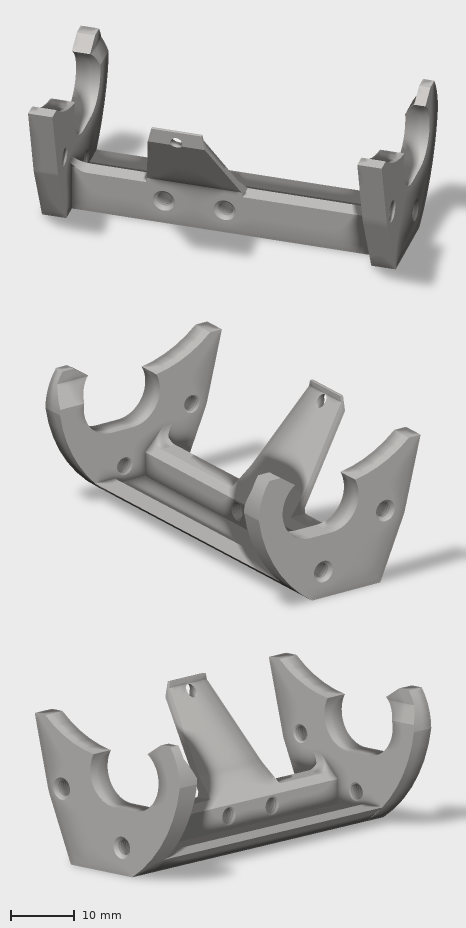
import cadquery as cq
import math

length = 58.0
plate_thickness = 4.0
plate_height = 23.25
left_inner_x = plate_thickness
right_inner_x = length - plate_thickness

base_front = (7.8, 0.0)
base_back = (20.95, 0.0)
front_tip_width = 2.25
throat_front = (12.7, 18.55)
front_curve_middle = (6.7, 20.35)
hook_tip = (24.0, 20.25)
hook_top_front = (27.0, 22.2)
hook_top_back = (29.2, 22.2)
plate_back = 31.2
upper_back_middle = (30.7, 19.2)
lower_back_middle = (27.9, 7.1)
left_knee = (3.15, 10.75)
left_knee_radius = 3.5
right_knee = (2.95, 11.2)
right_knee_radius = 9.85

slot_radius = 5.3
slot_front_y = 17.2
slot_back_y = 21.35
slot_z = 15.95

left_relief_depth = 1.0
left_relief_start_z = 17.1
left_relief_end_z = 20.0
right_relief_depth = 2.15
right_relief_start_z = 16.9
right_relief_end_z = 20.3

rail_front_y = 10.8
rail_back_y = 14.8
rail_top_z = 7.0
rail_bevel_start_z = 5.85
rail_fillet = 2.45
groove_floor_z = 1.85
groove_back_y = 20.65
ledge_back_y = 24.5
ledge_z = 2.8

tongue_center_x = 24.05
tongue_root_width = 15.9
tongue_tip_width = 8.25
tongue_top_z = 23.5
tongue_front_y = 0.8
tongue_back_y = 1.35
tongue_lip_z = 21.05
tongue_lip_back_z = 22.5
tongue_root_z = 7.85
tongue_bend = (10.5, 10.15)
tongue_bend_radius = 6.95
tongue_hole_diameter = 2.0
tongue_hole_z = 21.45

thread_minor = 2.5
thread_major = 3.0
thread_pitch = 0.5
thread_groove_width = 0.35
mouth_diameter = 3.6
screw_spacing = 10.0
bar_screw_z = 4.05

back_screw = (18.75, 4.4)
left_front_screw = (6.8, 11.95)
right_front_screw = (5.8, 11.95)


def side_plate(start_x, knee, knee_radius):
    """Hooked plate with a rounded front knee; the throat edges of its outline end inside the slot."""
    outer = (
        cq.Workplane("YZ", origin=(start_x, 0, 0))
        .moveTo(*base_front)
        .lineTo(*knee)
        .lineTo(0, plate_height)
        .lineTo(front_tip_width, plate_height)
        .threePointArc(front_curve_middle, throat_front)
        .lineTo(slot_front_y, slot_z)
        .lineTo(slot_back_y, slot_z)
        .lineTo(*hook_tip)
        .lineTo(*hook_top_front)
        .lineTo(*hook_top_back)
        .threePointArc(upper_back_middle, (plate_back, slot_z))
        .threePointArc(lower_back_middle, base_back)
        .close()
        .extrude(plate_thickness)
    )
    knee_edge = cq.selectors.NearestToPointSelector((start_x + plate_thickness / 2, *knee))
    outer = outer.edges(knee_edge).fillet(knee_radius)
    slot = (
        cq.Workplane("YZ", origin=(start_x, 0, 0))
        .center((slot_front_y + slot_back_y) / 2, slot_z)
        .slot2D(slot_back_y - slot_front_y + 2 * slot_radius, 2 * slot_radius)
        .extrude(plate_thickness)
    )
    return outer.cut(slot)


def hook_relief(inner_x, floor_x, start_z, end_z):
    """Cutter that slopes from the inner face at start_z to the full relief depth at end_z."""
    return (
        cq.Workplane("XZ", origin=(0, slot_back_y, 0))
        .moveTo(inner_x, start_z)
        .lineTo(floor_x, end_z)
        .lineTo(floor_x, plate_height)
        .lineTo(inner_x, plate_height)
        .close()
        .extrude(slot_back_y - plate_back)
    )


def bar_and_tongue():
    """Wedge-shaped section along X, trimmed from the front to a low rail with one tapered tongue."""
    section = (
        cq.Workplane("YZ", origin=(left_inner_x, 0, 0))
        .moveTo(rail_front_y, 0)
        .lineTo(rail_front_y, tongue_root_z)
        .lineTo(tongue_front_y, tongue_lip_z)
        .lineTo(tongue_front_y, tongue_top_z)
        .lineTo(tongue_back_y, tongue_top_z)
        .lineTo(tongue_back_y, tongue_lip_back_z)
        .lineTo(*tongue_bend)
        .lineTo(rail_back_y, rail_bevel_start_z)
        .lineTo(rail_back_y, groove_floor_z)
        .lineTo(groove_back_y, groove_floor_z)
        .lineTo(groove_back_y, ledge_z)
        .lineTo(ledge_back_y, ledge_z)
        .lineTo(*base_back)
        .close()
        .extrude(right_inner_x - left_inner_x)
    )
    bend_edge = cq.selectors.NearestToPointSelector((length / 2, *tongue_bend))
    section = section.edges(bend_edge).fillet(tongue_bend_radius)

    root_half = tongue_root_width / 2
    tip_half = tongue_tip_width / 2
    corner = rail_fillet * (1 - math.sqrt(0.5))
    left_fillet_middle = (left_inner_x + corner, rail_top_z + corner)
    right_fillet_middle = (right_inner_x - corner, rail_top_z + corner)
    fillet_top_z = rail_top_z + rail_fillet
    front_outline = (
        cq.Workplane("XZ")
        .moveTo(left_inner_x, 0)
        .lineTo(left_inner_x, fillet_top_z)
        .threePointArc(left_fillet_middle, (left_inner_x + rail_fillet, rail_top_z))
        .lineTo(tongue_center_x - root_half, rail_top_z)
        .lineTo(tongue_center_x - tip_half, tongue_top_z)
        .lineTo(tongue_center_x + tip_half, tongue_top_z)
        .lineTo(tongue_center_x + root_half, rail_top_z)
        .lineTo(right_inner_x - rail_fillet, rail_top_z)
        .threePointArc(right_fillet_middle, (right_inner_x, fillet_top_z))
        .lineTo(right_inner_x, 0)
        .close()
        .extrude(-plate_back)
    )
    return section.intersect(front_outline)


def threaded_hole(mouth, direction, depth):
    """Cutter that starts with a countersunk mouth and ends with a thread groove at full depth."""
    minor = thread_minor / 2
    major = thread_major / 2
    half_groove = thread_groove_width / 2
    mouth_radius = mouth_diameter / 2
    mouth_depth = mouth_radius - minor
    groove_count = math.floor((depth - mouth_depth - half_groove) / thread_pitch) + 1

    profile = cq.Workplane("XZ").lineTo(mouth_radius, 0).lineTo(minor, mouth_depth)
    for index in reversed(range(groove_count)):
        groove_z = depth - index * thread_pitch
        profile = profile.lineTo(minor, groove_z - half_groove).lineTo(major, groove_z)
        if index > 0:
            profile = profile.lineTo(minor, groove_z + half_groove)
    cutter = profile.lineTo(0, depth).close().revolve(360, (0, 0, 0), (0, 1, 0)).val()
    return cutter.moved(cq.Plane(mouth, xDir=(0, 0, 1), normal=direction).location)


left_relief = hook_relief(
    left_inner_x, left_inner_x - left_relief_depth, left_relief_start_z, left_relief_end_z
)
right_relief = hook_relief(
    right_inner_x, right_inner_x + right_relief_depth, right_relief_start_z, right_relief_end_z
)

result = (
    side_plate(0, left_knee, left_knee_radius)
    .cut(left_relief)
    .union(side_plate(right_inner_x, right_knee, right_knee_radius).cut(right_relief))
    .union(bar_and_tongue())
)

tongue_hole = (
    cq.Workplane("XZ", origin=(tongue_center_x, 0, tongue_hole_z))
    .circle(tongue_hole_diameter / 2)
    .extrude(-rail_front_y)
)
result = result.cut(tongue_hole)

for side in (-1, 1):
    screw_x = tongue_center_x + side * screw_spacing / 2
    mouth = (screw_x, rail_front_y, bar_screw_z)
    result = result.cut(threaded_hole(mouth, (0, 1, 0), rail_back_y - rail_front_y))

for screw in (back_screw, left_front_screw):
    result = result.cut(threaded_hole((0, *screw), (1, 0, 0), plate_thickness))

for screw in (back_screw, right_front_screw):
    result = result.cut(threaded_hole((length, *screw), (-1, 0, 0), plate_thickness))